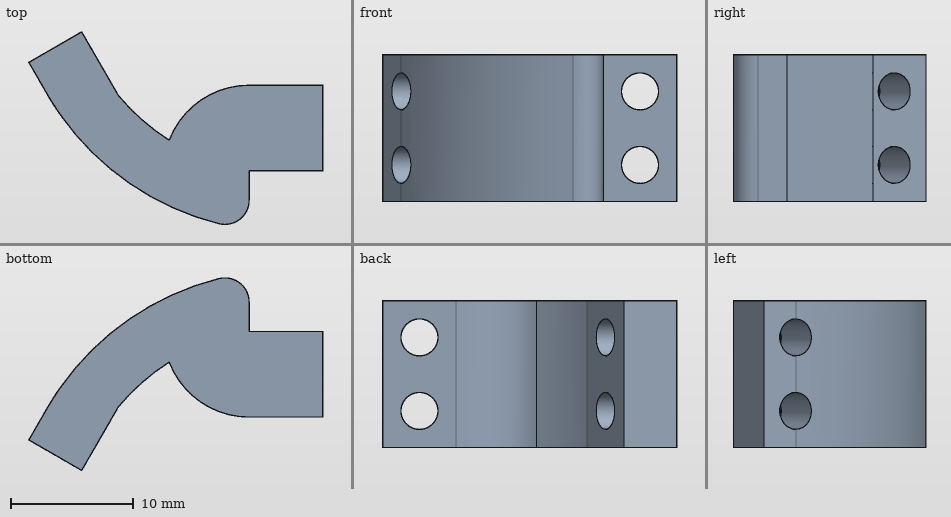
import cadquery as cq
import math

overall_length = 24.0
height = 12.0
pad_width = 6.0
arm_thickness = 5.0
block_thickness = 7.0
pad_tilt = math.radians(30)
heel_radius = 2.0
hole_diameter = 3.0
hole_spacing = 6.0

half_pad = pad_width / 2
pad_normal = (-math.cos(pad_tilt), -math.sin(pad_tilt))
pad_along = (-math.sin(pad_tilt), math.cos(pad_tilt))

outer_radius = (overall_length - half_pad - half_pad * math.sin(pad_tilt)) / math.cos(pad_tilt)
pad_inner = outer_radius - arm_thickness
inner_radius = math.hypot(pad_inner, half_pad)

block_bottom = -pad_inner
block_top = block_bottom + block_thickness
shoulder_center = (-half_pad, block_bottom)
shoulder_radius = block_thickness


def pad_point(distance, offset):
    """Point at a distance along the pad normal and an offset along the pad."""
    return (
        distance * pad_normal[0] + offset * pad_along[0],
        distance * pad_normal[1] + offset * pad_along[1],
    )


def circle_point(center, radius, angle):
    return (center[0] + radius * math.cos(angle), center[1] + radius * math.sin(angle))


def arc_middle(center, radius, start, end):
    """Middle of the short arc between two points on a circle."""
    start_angle = math.atan2(start[1] - center[1], start[0] - center[0])
    end_angle = math.atan2(end[1] - center[1], end[0] - center[0])
    return circle_point(center, radius, (start_angle + end_angle) / 2)


axis = (0.0, 0.0)

center_distance = math.hypot(*shoulder_center)
along = (inner_radius**2 - shoulder_radius**2 + center_distance**2) / (2 * center_distance)
notch_angle = math.atan2(shoulder_center[1], shoulder_center[0]) - math.acos(along / inner_radius)
notch = circle_point(axis, inner_radius, notch_angle)

heel_x = -half_pad - heel_radius
heel_y = -math.sqrt((outer_radius - heel_radius) ** 2 - heel_x**2)
heel_center = (heel_x, heel_y)
heel_start = circle_point(axis, outer_radius, math.atan2(heel_y, heel_x))
heel_end = (-half_pad, heel_y)

pad_middle = pad_point(outer_radius, 0)
pad_inner_corner = pad_point(pad_inner, -half_pad)
shoulder_end = (-half_pad, block_top)

body = (
    cq.Workplane("XY")
    .moveTo(*pad_point(outer_radius, half_pad))
    .lineTo(*pad_middle)
    .threePointArc(arc_middle(axis, outer_radius, pad_middle, heel_start), heel_start)
    .threePointArc(arc_middle(heel_center, heel_radius, heel_start, heel_end), heel_end)
    .lineTo(-half_pad, block_bottom)
    .lineTo(half_pad, block_bottom)
    .lineTo(half_pad, block_top)
    .lineTo(*shoulder_end)
    .threePointArc(arc_middle(shoulder_center, shoulder_radius, shoulder_end, notch), notch)
    .threePointArc(arc_middle(axis, inner_radius, notch, pad_inner_corner), pad_inner_corner)
    .lineTo(*pad_point(pad_inner, half_pad))
    .close()
    .extrude(height)
)


def through_hole(start, direction, z):
    """Cutter for one hole, running from the start point through a pad."""
    return cq.Workplane(
        cq.Solid.makeCylinder(
            hole_diameter / 2,
            outer_radius,
            cq.Vector(start[0], start[1], z),
            cq.Vector(direction[0], direction[1], 0),
        )
    )


result = body
for z in (height / 2 - hole_spacing / 2, height / 2 + hole_spacing / 2):
    result = result.cut(through_hole(axis, (0, -1), z))
    result = result.cut(through_hole(pad_point(pad_inner / 2, 0), pad_normal, z))